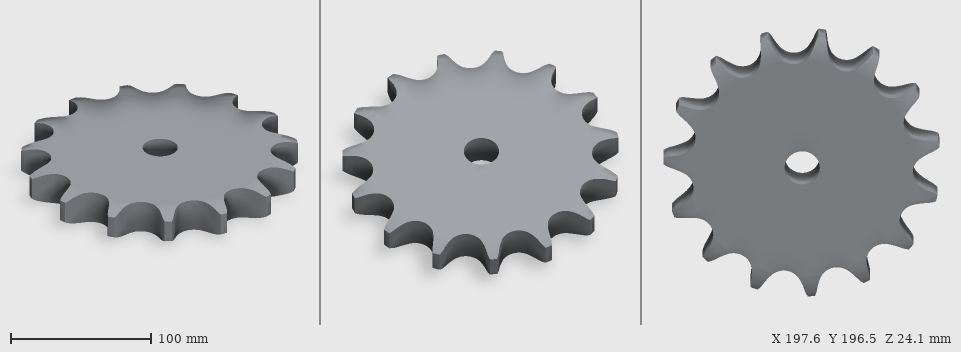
import cadquery as cq
import math

tooth_count = 15
chain_pitch = 38.1
roller_diameter = chain_pitch / 1.5
seat_clearance = 0.038
tip_diameter = 198.2
thickness = 24.1
bore_diameter = 25.0

face_diameter = 164.4
crown_radius = 38.1

tooth_angle = 360 / tooth_count
half_tooth_angle = tooth_angle / 2
pitch_radius = chain_pitch / 2 / math.sin(math.radians(half_tooth_angle))
tip_radius = tip_diameter / 2
face_radius = face_diameter / 2
half_thickness = thickness / 2

seat_radius = 0.5025 * roller_diameter + seat_clearance
working_radius = 1.3025 * roller_diameter + seat_clearance
working_centre_distance = 0.8 * roller_diameter
topping_centre_distance = 1.4 * roller_diameter
seat_end_angle = 35 + 60 / tooth_count
working_sweep = 18 - 56 / tooth_count
working_end_angle = seat_end_angle - working_sweep


def polar(centre, radius, degrees):
    """Point at a distance and direction from a centre."""
    angle = math.radians(degrees)
    return (centre[0] + radius * math.cos(angle), centre[1] + radius * math.sin(angle))


def bearing(point):
    """Direction of a point as seen from the origin, in degrees."""
    return math.degrees(math.atan2(point[1], point[0]))


def rotate(point, degrees):
    """Point turned about the origin."""
    return polar((0, 0), math.hypot(*point), bearing(point) + degrees)


def right_flank():
    """Right flank of a tooth gap that opens along +Y, from the end of its seating arc to the tip.

    A concave working arc, a straight line and a convex topping arc follow one another;
    each arc is given by its middle and its end.
    """
    roller_centre = (0, pitch_radius)
    seat_end = polar(roller_centre, seat_radius, -seat_end_angle)

    working_centre = polar(roller_centre, working_centre_distance, 180 - seat_end_angle)
    working_middle = polar(working_centre, working_radius, working_sweep / 2 - seat_end_angle)
    working_end = polar(working_centre, working_radius, -working_end_angle)

    topping_centre = polar(roller_centre, topping_centre_distance, -half_tooth_angle)
    line_angle = 90 - working_end_angle
    centre_offset = math.dist(working_end, topping_centre)
    centre_direction = bearing((topping_centre[0] - working_end[0], topping_centre[1] - working_end[1]))
    line_length = centre_offset * math.cos(math.radians(centre_direction - line_angle))
    line_end = polar(working_end, line_length, line_angle)

    topping_radius = math.dist(line_end, topping_centre)
    centre_radius = math.hypot(*topping_centre)
    squares = tip_radius**2 - centre_radius**2 - topping_radius**2
    angle_to_tip = math.degrees(math.acos(squares / (2 * centre_radius * topping_radius)))
    topping_start_angle = line_angle + 90
    topping_end_angle = bearing(topping_centre) + angle_to_tip
    topping_middle_angle = (topping_start_angle + topping_end_angle) / 2
    topping_middle = polar(topping_centre, topping_radius, topping_middle_angle)
    topping_end = polar(topping_centre, topping_radius, topping_end_angle)
    return [seat_end, working_middle, working_end, line_end, topping_middle, topping_end]


def toothed_plate():
    """Plate with the full ring of teeth, its outline running clockwise gap by gap."""
    right = right_flank()
    left = [(-x, y) for x, y in right]
    root = (0, pitch_radius - seat_radius)
    tip_middle = polar((0, 0), tip_radius, 90 - half_tooth_angle)
    next_gap_start = rotate(left[-1], -tooth_angle)

    outline = cq.Workplane("XY", origin=(0, 0, -half_thickness)).moveTo(*left[-1])
    for gap in range(tooth_count):
        turn = -gap * tooth_angle
        seat_start, left_working, left_line_start, left_line_end, left_topping, _ = [
            rotate(point, turn) for point in left
        ]
        seat_end, right_working, right_line_start, right_line_end, right_topping, right_tip = [
            rotate(point, turn) for point in right
        ]
        outline = (
            outline.threePointArc(left_topping, left_line_end)
            .lineTo(*left_line_start)
            .threePointArc(left_working, seat_start)
            .threePointArc(rotate(root, turn), seat_end)
            .threePointArc(right_working, right_line_start)
            .lineTo(*right_line_end)
            .threePointArc(right_topping, right_tip)
            .threePointArc(rotate(tip_middle, turn), rotate(next_gap_start, turn))
        )
    return outline.close().extrude(thickness)


def crown_height(distance):
    """Height of the upper crown arc at a radial distance outside the flat face."""
    return half_thickness - crown_radius + math.sqrt(crown_radius**2 - distance**2)


def crowned_blank():
    """Disc whose rim curves in on both sides from the flat faces to the tip circle."""
    crown_width = tip_radius - face_radius
    middle_radius = face_radius + crown_width / 2
    middle_height = crown_height(crown_width / 2)
    edge_height = crown_height(crown_width)
    profile = (
        cq.Workplane("XZ")
        .moveTo(0, -half_thickness)
        .lineTo(face_radius, -half_thickness)
        .threePointArc((middle_radius, -middle_height), (tip_radius, -edge_height))
        .lineTo(tip_radius, edge_height)
        .threePointArc((middle_radius, middle_height), (face_radius, half_thickness))
        .lineTo(0, half_thickness)
        .close()
    )
    return profile.revolve(360, (0, 0, 0), (0, 1, 0))


def bore():
    """Cylinder through the full thickness."""
    return cq.Workplane("XY", origin=(0, 0, -half_thickness)).circle(bore_diameter / 2).extrude(thickness)


result = toothed_plate().intersect(crowned_blank()).cut(bore())